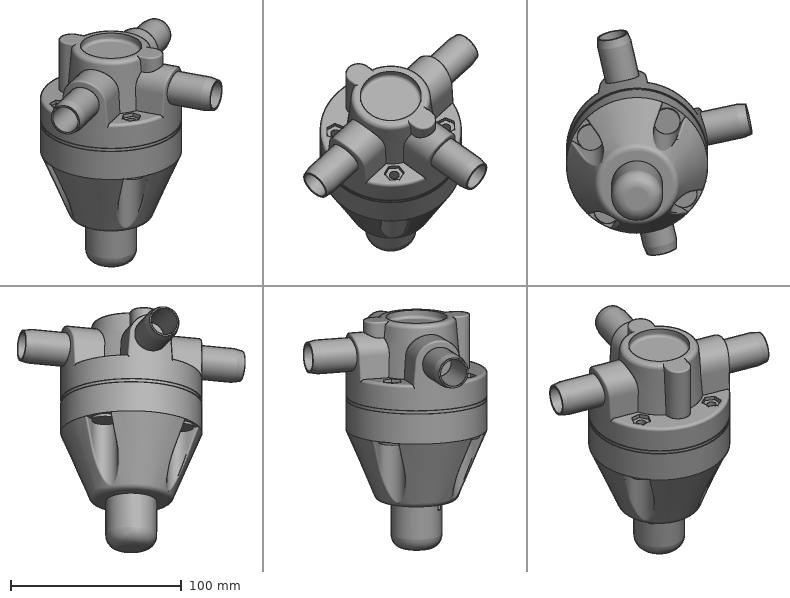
import cadquery as cq
import math

cone_bottom = 29.1
cone_top = 71.2
joint_bottom = 89.2
joint_top = 91.1
flange_top = 106.4
head_top = 138.5
port_height = 118.8

body_radius = 41.4
joint_radius = 41.0
cone_bottom_radius = 23.5
cone_bottom_fillet = 4.0
flange_fillet = 2.0
spigot_radius = 15.0
spigot_fillet = 8.0

notch_width = 2.5
notch_height = 5.1
notch_side = 9.3
notch_floor = 9.4

head_top_radius = 23.0
head_base_radius = 25.8
head_fillet = 2.9
recess_radius = 17.9
recess_depth = 5.0
recess_fillet = 2.0
post_offset = 25.0
post_radius = 7.5
post_fillet = 1.0

side_arch_radius = 13.8
end_arch_radius = 12.6
arch_draft = 4.4
arch_fillet = 1.0
arch_base = flange_top - flange_fillet

port_reach = 67.0
port_radius = 10.0
port_tip_radius = 9.0
port_taper_length = 5.1
port_bore_radius = 8.0
port_bore_depth = 27.7

bolt_circle_radius = 32.4
bolt_angles = [45, 135, 225, 315]
nut_across_flats = 10.0
nut_pocket_depth = 2.2
bolt_hole_radius = 2.8
bolt_hole_depth = 11.1
slot_radius = 7.8
slot_edge_fillet = 1.0
seat_height = 1.7


def disc(radius, bottom, top):
    """Vertical cylinder on the main axis."""
    return cq.Workplane("XY").workplane(offset=bottom).circle(radius).extrude(top - bottom)


def make_slot():
    """Relief slot with a round inner wall, open towards +X."""
    slot_height = cone_top - cone_bottom
    round_wall = cq.Workplane("XY").center(bolt_circle_radius, 0).circle(slot_radius).extrude(slot_height)
    mouth = (
        cq.Workplane("XY")
        .center(bolt_circle_radius + body_radius / 2, 0)
        .rect(body_radius, 2 * slot_radius)
        .extrude(slot_height)
    )
    return round_wall.union(mouth).translate((0, 0, cone_bottom))


def make_cone():
    """Conical lower body with four slots and a bolt seat at the top of each."""
    cone = (
        cq.Workplane("XZ")
        .moveTo(0, cone_bottom)
        .lineTo(cone_bottom_radius, cone_bottom)
        .lineTo(body_radius, cone_top)
        .lineTo(0, cone_top)
        .close()
        .revolve(360, (0, 0, 0), (0, 1, 0))
        .faces("<Z")
        .edges()
        .fillet(cone_bottom_fillet)
    )
    for angle in bolt_angles:
        cone = cone.cut(make_slot().rotate((0, 0, 0), (0, 0, 1), angle))
    slot_rims = cone.faces("%CONE").edges("not(%CIRCLE)")
    cone = slot_rims.fillet(slot_edge_fillet)
    seats = (
        cq.Workplane("XY")
        .workplane(offset=cone_top - seat_height)
        .polarArray(bolt_circle_radius, bolt_angles[0], 360, len(bolt_angles))
        .circle(slot_radius)
        .extrude(seat_height)
    )
    return cone.union(seats)


def make_spigot():
    """Round-ended outlet spigot with a notch on its -X side."""
    spigot = disc(spigot_radius, 0, cone_bottom).faces("<Z").edges().fillet(spigot_fillet)
    notch = cq.Workplane("XY").box(spigot_radius, notch_width, notch_height, centered=False)
    return spigot.cut(notch.translate((-notch_floor - spigot_radius, notch_side, cone_bottom - notch_height)))


def make_head():
    """Tapered head with a full-height post on either side."""
    head = (
        cq.Workplane("XZ")
        .moveTo(0, flange_top)
        .lineTo(head_base_radius, flange_top)
        .lineTo(head_top_radius, head_top)
        .lineTo(0, head_top)
        .close()
        .revolve(360, (0, 0, 0), (0, 1, 0))
        .faces(">Z")
        .edges()
        .fillet(head_fillet)
    )
    posts = (
        cq.Workplane("XY")
        .workplane(offset=flange_top)
        .slot2D(2 * (post_offset + post_radius), 2 * post_radius)
        .extrude(head_top - flange_top)
        .faces(">Z")
        .edges()
        .fillet(post_fillet)
    )
    return head.union(posts)


def make_arch(radius):
    """Arched housing towards +X, with drafted legs and a face flush with the body."""
    draft = math.radians(arch_draft)
    shoulder_half_width = radius * math.cos(draft)
    shoulder_height = port_height + radius * math.sin(draft)
    foot_half_width = shoulder_half_width + (shoulder_height - arch_base) * math.tan(draft)
    block = (
        cq.Workplane("YZ")
        .moveTo(-foot_half_width, arch_base)
        .lineTo(-shoulder_half_width, shoulder_height)
        .threePointArc((0, port_height + radius), (shoulder_half_width, shoulder_height))
        .lineTo(foot_half_width, arch_base)
        .close()
        .extrude(body_radius + 1.4)
    )
    block = block.intersect(disc(body_radius, arch_base, head_top))
    return block.faces(">X").edges("not(<Z)").fillet(arch_fillet)


def make_port():
    """Hose port towards +X with a tapered tip."""
    taper_start = port_reach - port_taper_length
    return (
        cq.Workplane("XY")
        .lineTo(0, port_radius)
        .lineTo(taper_start, port_radius)
        .lineTo(port_reach, port_tip_radius)
        .lineTo(port_reach, 0)
        .close()
        .revolve(360, (0, 0, 0), (1, 0, 0))
        .translate((0, 0, port_height))
    )


def make_port_bore():
    """Blind bore of the port towards +X."""
    return (
        cq.Workplane("YZ")
        .workplane(offset=port_reach - port_bore_depth)
        .center(0, port_height)
        .circle(port_bore_radius)
        .extrude(port_bore_depth)
    )


def make_nut_pocket():
    """Hexagonal pocket with a bolt hole in its floor, one flat facing outwards."""
    across_corners = nut_across_flats / math.cos(math.radians(30))
    hexagon = (
        cq.Workplane("XY")
        .polygon(6, across_corners)
        .extrude(-nut_pocket_depth)
        .rotate((0, 0, 0), (0, 0, 1), 30)
    )
    hole = cq.Workplane("XY").circle(bolt_hole_radius).extrude(-bolt_hole_depth)
    return hexagon.union(hole).translate((bolt_circle_radius, 0, flange_top))


flange = disc(body_radius, joint_top, flange_top).faces(">Z").edges().fillet(flange_fillet)
result = (
    disc(body_radius, cone_top, joint_bottom)
    .union(disc(joint_radius, joint_bottom, joint_top))
    .union(flange)
    .union(make_cone())
    .union(make_spigot())
    .union(make_head())
)

for angle, arch_radius in [(0, end_arch_radius), (90, side_arch_radius), (270, side_arch_radius)]:
    housing = make_arch(arch_radius).union(make_port())
    result = result.union(housing.rotate((0, 0, 0), (0, 0, 1), angle))
    result = result.cut(make_port_bore().rotate((0, 0, 0), (0, 0, 1), angle))

for angle in bolt_angles:
    result = result.cut(make_nut_pocket().rotate((0, 0, 0), (0, 0, 1), angle))

recess = disc(recess_radius, head_top - recess_depth, head_top).faces("<Z").edges().fillet(recess_fillet)
result = result.cut(recess)